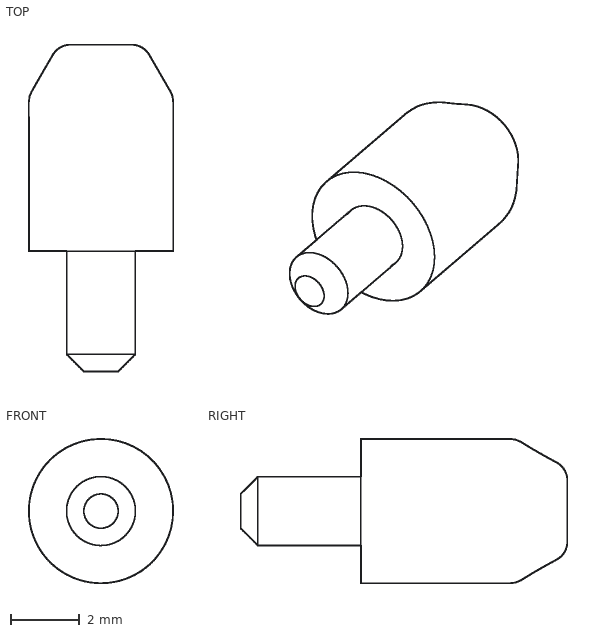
import cadquery as cq
import math

total_length = 9.5
head_length = 6.0
pin_length = total_length - head_length

head_diameter = 4.2
nose_length = 1.5
nose_half_angle = 30.0
nose_rounding = 0.6

pin_diameter = 2.0
pin_chamfer = 0.5


def make_head():
    """Head standing on the plane Y = 0, with its nose towards +Y."""
    radius = head_diameter / 2
    tip_radius = radius - nose_length * math.tan(math.radians(nose_half_angle))
    profile = (
        cq.Workplane("XY")
        .polyline([
            (0, 0),
            (radius, 0),
            (radius, head_length - nose_length),
            (tip_radius, head_length),
            (0, head_length),
        ])
        .close()
    )
    head = profile.revolve(360, (0, 0, 0), (0, 1, 0))
    nose_edges = head.edges("%CIRCLE").edges("not <Y")
    return nose_edges.fillet(nose_rounding)


def make_pin():
    """Pin reaching from the head's flat face towards -Y."""
    pin = cq.Workplane("XZ").circle(pin_diameter / 2).extrude(pin_length)
    return pin.faces("<Y").edges().chamfer(pin_chamfer)


head = make_head()
pin = make_pin()
result = cq.Compound.makeCompound([head.val(), pin.val()])